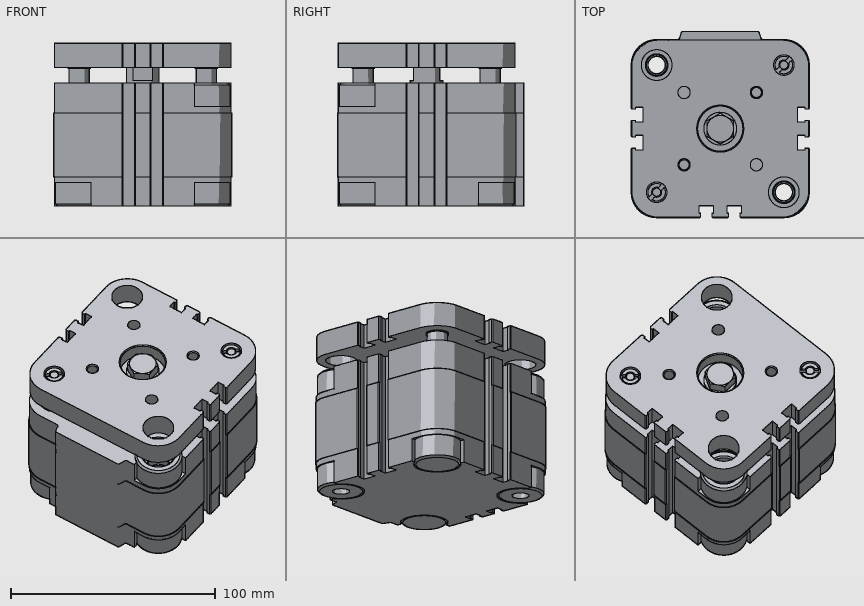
import cadquery as cq
import math

housing_height = 60.1
gap = 7.5
plate_height = 12.0
plate_bottom = housing_height + gap
plate_top = plate_bottom + plate_height
corner_offset = 31.0
guide_corners = [(-corner_offset, -corner_offset), (corner_offset, corner_offset)]
mount_corners = [(-corner_offset, corner_offset), (corner_offset, -corner_offset)]

tube_width = 87.0
cap_width = 86.4
plate_corner_radius = 12.7
tube_corner_radius = 12.5
cap_corner_radius = tube_corner_radius - (tube_width - cap_width) / 2
bottom_cap_height = 14.3
top_cap_height = 14.65

total_depth = 91.0
rail_tip_y = total_depth - tube_width / 2
rail_root_width = 40.2
rail_tip_width = 37.7
rail_fillet = 1.0

slot_offset = 6.8
slot_width = 7.0
slot_depth = 5.5
mouth_depth = 1.9
slot_floor = cap_width / 2 - slot_depth
slot_lip = cap_width / 2 - mouth_depth
mouth_width = 5.5
mouth_chamfer = 0.5
margin = 0.9

boss_diameter = 23.0
boss_chamfer = 1.0
boss_rim = boss_diameter - 2 * boss_chamfer
notch_height = 11.5
notch_reach = 5.8

mount_hole = 8.4
mount_bore = 10.0
mount_bore_rim = 11.0
mount_bore_depth = 5.5
mount_counterbore = 15.0
mount_counterbore_rim = 16.5
mount_counterbore_depth = 7.0

piston_rod_diameter = 16.0
rod_across_flats = 13.0
flats_height = 6.4
guide_rod_diameter = 10.0
collar_diameter = 11.0
collar_height = 0.5
rod_bottom = housing_height - top_cap_height
guide_recess_diameter = 14.0
guide_recess_depth = 0.3

access_hole = 15.0
pin_hole = 6.0
thread_hole = 4.9
pin_offset = 17.65
pin_holes = [(-pin_offset, pin_offset), (pin_offset, -pin_offset)]
thread_holes = [(-pin_offset, -pin_offset), (pin_offset, pin_offset)]
centre_bore = 22.0
centre_bore_rim = 23.0
centre_bore_depth = 7.5

washer_diameter = 16.0
washer_height = 1.2
bolt_sides = 6
bolt_across_flats = 13.0
bolt_across_corners = bolt_across_flats / math.cos(math.pi / bolt_sides)
bolt_recess = 1.0
bolt_chamfer_angle = math.radians(30)

ring_well_depth = 2.4
ring_outer = 8.55
ring_inner = 4.9
ring_recess = 0.5
ring_slot_width = 2.0
ring_slot_angle = 45
plug_diameter = 4.0
plug_recess = 0.8


def cylinder(x, y, bottom, diameter, height):
    """Vertical cylinder."""
    return cq.Workplane("XY", origin=(x, y, bottom)).circle(diameter / 2).extrude(height)


def cone(x, y, bottom, bottom_diameter, top_diameter, height):
    """Vertical truncated cone."""
    return cq.Workplane(
        cq.Solid.makeCone(bottom_diameter / 2, top_diameter / 2, height, cq.Vector(x, y, bottom))
    )


def rim_chamfer(x, y, top, hole_diameter, rim_diameter):
    """Cutter for a 45 degree chamfer that widens a hole to its rim at the level `top`."""
    depth = (rim_diameter - hole_diameter) / 2
    return cone(x, y, top - depth, hole_diameter, rim_diameter, depth)


def t_slot(face, offset, bottom, height):
    """Cutter for one T-slot in a side that faces +X at the distance `face` from the axis."""
    half_outline = [
        (face + margin, mouth_width / 2 + mouth_chamfer),
        (face, mouth_width / 2 + mouth_chamfer),
        (face - mouth_chamfer, mouth_width / 2),
        (slot_lip, mouth_width / 2),
        (slot_lip, slot_width / 2),
        (slot_floor, slot_width / 2),
    ]
    other_half = [(x, -y) for x, y in reversed(half_outline)]
    outline = cq.Workplane("XY", origin=(0, offset, bottom)).polyline(half_outline + other_half)
    return outline.close().extrude(height)


def slotted_block(width, corner_radius, bottom, height):
    """Square block with rounded corners and two T-slots in each side but the +Y one."""
    block = cq.Workplane("XY", origin=(0, 0, bottom)).rect(width, width).extrude(height)
    block = block.edges("|Z").fillet(corner_radius)
    for angle in (0, 180, 270):
        for offset in (-slot_offset, slot_offset):
            slot = t_slot(width / 2, offset, bottom, height)
            block = block.cut(slot.rotate((0, 0, 0), (0, 0, 1), angle))
    return block


def add_rail(block, width, bottom, height):
    """Add the trapezoidal rail, with rounded tip and root edges, to the +Y side of a block."""
    half_root = rail_root_width / 2
    half_tip = rail_tip_width / 2
    face = width / 2
    rail = (
        cq.Workplane("XY", origin=(0, 0, bottom))
        .polyline([
            (-half_root, face - margin),
            (-half_root, face),
            (-half_tip, rail_tip_y),
            (half_tip, rail_tip_y),
            (half_root, face),
            (half_root, face - margin),
        ])
        .close()
        .extrude(height)
    )
    rail_edges = cq.selectors.BoxSelector(
        (-half_root - margin, face - margin / 2, bottom - margin),
        (half_root + margin, rail_tip_y + margin, bottom + height + margin),
    )
    return block.union(rail).edges("|Z").edges(rail_edges).fillet(rail_fillet)


def housing_section(width, corner_radius, bottom, height):
    """One of the three stacked sections of the housing."""
    block = slotted_block(width, corner_radius, bottom, height)
    return add_rail(block, width, bottom, height)


def corner_notch(x, y):
    """Cutter that leaves a chamfered round boss at a top corner of the housing."""
    notch_size = tube_width / 2 - corner_offset + notch_reach
    shift = notch_size / 2 - notch_reach
    bottom = housing_height - notch_height
    notch = (
        cq.Workplane("XY", origin=(x + math.copysign(shift, x), y + math.copysign(shift, y), bottom))
        .rect(notch_size, notch_size)
        .extrude(notch_height)
        .cut(cylinder(x, y, bottom, boss_diameter, notch_height))
    )
    ring_bottom = housing_height - boss_chamfer
    ring = cylinder(x, y, ring_bottom, boss_diameter, boss_chamfer)
    ring = ring.cut(cone(x, y, ring_bottom, boss_diameter, boss_rim, boss_chamfer))
    return notch.union(ring)


def bottom_corner_notch(x, y):
    """The same cutter for a bottom corner: the top one mirrored about mid-height."""
    return corner_notch(x, y).mirror("XY", (0, 0, housing_height / 2))


def mounting_hole(x, y):
    """Cutter for a stepped mounting hole through the housing."""
    counterbore_floor = housing_height - mount_counterbore_depth
    bore_floor = counterbore_floor - mount_bore_depth
    return (
        cylinder(x, y, 0, mount_hole, housing_height)
        .union(cylinder(x, y, bore_floor, mount_bore, mount_bore_depth))
        .union(rim_chamfer(x, y, counterbore_floor, mount_bore, mount_bore_rim))
        .union(cylinder(x, y, counterbore_floor, mount_counterbore, mount_counterbore_depth))
        .union(rim_chamfer(x, y, housing_height, mount_counterbore, mount_counterbore_rim))
    )


def make_housing():
    """Cylinder housing: a tube between two slightly smaller end caps."""
    top_cap_bottom = housing_height - top_cap_height
    tube_height = top_cap_bottom - bottom_cap_height
    body = housing_section(cap_width, cap_corner_radius, 0, bottom_cap_height)
    body = body.union(housing_section(tube_width, tube_corner_radius, bottom_cap_height, tube_height))
    body = body.union(housing_section(cap_width, cap_corner_radius, top_cap_bottom, top_cap_height))

    for x, y in guide_corners + mount_corners:
        body = body.cut(bottom_corner_notch(x, y))
    for x, y in mount_corners:
        body = body.cut(corner_notch(x, y)).cut(mounting_hole(x, y))

    body = body.cut(cylinder(0, 0, rod_bottom, piston_rod_diameter, top_cap_height))
    for x, y in guide_corners:
        recess_floor = housing_height - guide_recess_depth
        body = body.cut(cylinder(x, y, rod_bottom, guide_rod_diameter, top_cap_height))
        body = body.cut(cylinder(x, y, recess_floor, guide_recess_diameter, guide_recess_depth))
    return body


def piston_rod():
    """Piston rod up to the plate, with two wrench flats facing -Y and +Y."""
    rod = cylinder(0, 0, rod_bottom, piston_rod_diameter, plate_bottom - rod_bottom)
    round_part = cylinder(0, 0, rod_bottom, piston_rod_diameter, plate_bottom - flats_height - rod_bottom)
    between_flats = (
        cq.Workplane("XY", origin=(0, 0, rod_bottom))
        .rect(piston_rod_diameter, rod_across_flats)
        .extrude(plate_bottom - rod_bottom)
    )
    return rod.intersect(between_flats).union(round_part)


def guide_rod(x, y):
    """Guide rod with a collar under the plate."""
    rod = cylinder(x, y, rod_bottom, guide_rod_diameter, plate_bottom - rod_bottom)
    return rod.union(cylinder(x, y, plate_bottom - collar_height, collar_diameter, collar_height))


def guide_rod_well(x, y):
    """Cutter for a round well that leaves a slotted ring and a plug standing on its floor."""
    well_floor = plate_top - ring_well_depth
    ring_height = ring_well_depth - ring_recess
    slot = (
        cq.Workplane("XY", origin=(0, 0, well_floor))
        .rect(guide_rod_diameter, ring_slot_width)
        .extrude(ring_height)
        .rotate((0, 0, 0), (0, 0, 1), ring_slot_angle)
        .translate((x, y, 0))
    )
    ring = (
        cylinder(x, y, well_floor, ring_outer, ring_height)
        .cut(cylinder(x, y, well_floor, ring_inner, ring_height))
        .cut(slot)
    )
    plug = cylinder(x, y, well_floor, plug_diameter, ring_well_depth - plug_recess)
    return cylinder(x, y, well_floor, guide_rod_diameter, ring_well_depth).cut(ring).cut(plug)


def bolt():
    """Hexagon bolt head, chamfered at the top, on its washer in the centre bore."""
    washer_bottom = plate_top - centre_bore_depth
    head_bottom = washer_bottom + washer_height
    head_height = plate_top - bolt_recess - head_bottom
    chamfer = (bolt_across_corners - bolt_across_flats) / 2 * math.tan(bolt_chamfer_angle)
    chamfer_bottom = head_bottom + head_height - chamfer
    turned_blank = cylinder(0, 0, head_bottom, bolt_across_corners, head_height - chamfer).union(
        cone(0, 0, chamfer_bottom, bolt_across_corners, bolt_across_flats, chamfer)
    )
    head = (
        cq.Workplane("XY", origin=(0, 0, head_bottom))
        .polygon(bolt_sides, bolt_across_corners)
        .extrude(head_height)
        .rotate((0, 0, 0), (0, 0, 1), 180 / bolt_sides)
        .intersect(turned_blank)
    )
    return cylinder(0, 0, washer_bottom, washer_diameter, washer_height).union(head)


def make_moving_unit():
    """Front plate with the piston rod, the guide rods and the centre bolt."""
    unit = slotted_block(cap_width, plate_corner_radius, plate_bottom, plate_height)

    unit = unit.cut(cylinder(0, 0, plate_top - centre_bore_depth, centre_bore, centre_bore_depth))
    unit = unit.cut(rim_chamfer(0, 0, plate_top, centre_bore, centre_bore_rim))
    for x, y in mount_corners:
        unit = unit.cut(cylinder(x, y, plate_bottom, access_hole, plate_height))
    for x, y in pin_holes:
        unit = unit.cut(cylinder(x, y, plate_bottom, pin_hole, plate_height))
    for x, y in thread_holes:
        unit = unit.cut(cylinder(x, y, plate_bottom, thread_hole, plate_height))
        unit = unit.cut(rim_chamfer(x, y, plate_top, thread_hole, pin_hole))

    unit = unit.union(bolt()).union(piston_rod())
    for x, y in guide_corners:
        unit = unit.union(guide_rod(x, y)).cut(guide_rod_well(x, y))
    return unit


housing = make_housing()
moving_unit = make_moving_unit()

result = cq.Compound.makeCompound([housing.val(), moving_unit.val()])